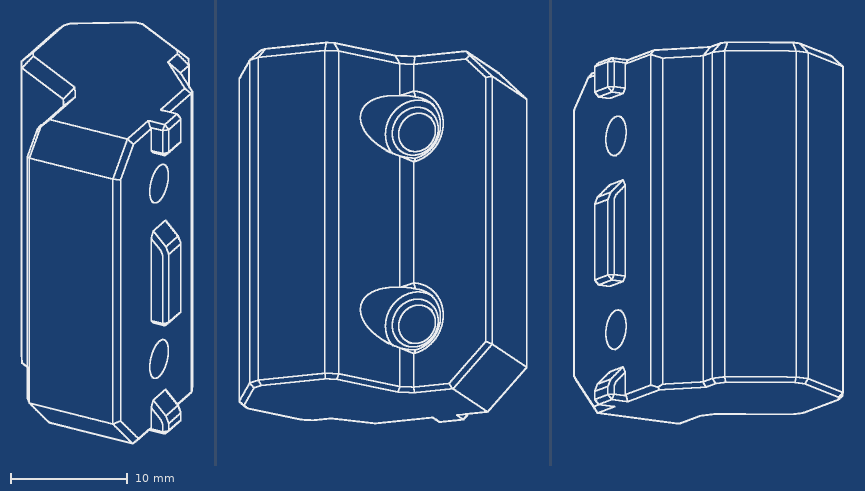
import cadquery as cq
import math

height = 30.0
depth = 22.68
mid_height = height / 2

hex_flats = 13.0
corner_cut = 0.7
hex_radius = hex_flats / math.sqrt(3)
hex_x = hex_flats / 2
hex_y = depth - hex_radius + corner_cut / 2
hex_left_front = (0, hex_y - hex_radius / 2)

stem_left = 7.0
stem_width = 9.0
stem_right = stem_left + stem_width
shoulder_y = 14.0

inner_corner = (stem_left, hex_left_front[1] - stem_left / math.sqrt(3))

top_bevel = 1.0
bottom_bevel = 0.4
left_bevel = 0.42
right_bevel = 0.48
front_top_slope = 2.65
front_bottom_slope = 3.6

tab_reach = 1.5
tab_width = 3.0
tab_y = 7.55
tab_bevel = 0.4
tab_root = 1.5

hole_radius = 3.4 / 2
counterbore_radius = 5.5 / 2
hole_spacing = 17.0
hole_y = 7.5
counterbore_floor = 8.5
hole_bevel = 0.42
rim_bevel = 0.42

tabs = [(27.0, height, False), (10.5, 19.4, True), (0.0, 3.0, True)]

margin = 6.0


def cut_corner(before, corner, after, size):
    """Return the two points that replace a corner cut back along both of its sides."""
    points = []
    for end in (before, after):
        length = math.dist(corner, end)
        points.append(tuple(c + (e - c) * size / length for c, e in zip(corner, end)))
    return points


def plan_outline():
    """Outline of head and stem, overrunning the front and right sides."""
    front = -margin
    far_right = stem_right + margin
    side_back_y = hex_y + hex_radius / 2
    shoulder_back = (hex_flats, shoulder_y + stem_right - hex_flats)
    corners = [
        (stem_left, front),
        inner_corner,
        hex_left_front,
        (0, side_back_y),
        (hex_x, hex_y + hex_radius),
        (hex_flats, side_back_y),
        shoulder_back,
    ]
    points = [corners[0]]
    for before, corner, after in zip(corners, corners[1:], corners[2:]):
        points += cut_corner(before, corner, after, corner_cut)
    overrun = [(far_right, shoulder_y + stem_right - far_right), (far_right, front)]
    return points + [shoulder_back] + overrun


def bevelled_plan():
    """The plan outline at full height, bevelled along its top and bottom."""
    plan = cq.Workplane("XY").polyline(plan_outline()).close().extrude(height)
    return plan.faces(">Z").chamfer(top_bevel).faces("<Z").chamfer(bottom_bevel)


def stem_block():
    """Block with the sloped front of the stem and its bevelled left and right sides."""
    profile = [
        (0, front_bottom_slope),
        (front_bottom_slope, 0),
        (depth, 0),
        (depth, height),
        (front_top_slope, height),
        (0, height - front_top_slope),
    ]
    block = cq.Workplane("YZ").workplane(offset=stem_left).polyline(profile).close()
    block = block.extrude(stem_width)
    front_edges = cq.selectors.BoxSelector(
        (stem_left - 0.3, -0.3, 0.3), (stem_left + 0.3, front_bottom_slope, height - 0.3))
    block = block.edges(front_edges).chamfer(left_bevel)
    return block.faces(">X").edges("not >Y").chamfer(right_bevel)


def body():
    """Head and stem with all their bevels, before tabs and holes are added."""
    head_space = cq.Workplane("XY").box(stem_left, depth, height, centered=False)
    solid = bevelled_plan().intersect(stem_block().union(head_space))
    shoulder_edge = cq.selectors.NearestToPointSelector((stem_right, shoulder_y, mid_height))
    return solid.edges(shoulder_edge).chamfer(corner_cut)


def tab(bottom, top, sloped):
    """Tab on the right side; a sloped one has a 45 degree top falling outward."""
    outer_x = stem_right + tab_reach
    outer_top = top - tab_reach if sloped else top
    root_top = top + tab_root if sloped else top
    inner_x = stem_right - tab_root
    profile = [(inner_x, bottom), (outer_x, bottom), (outer_x, outer_top), (inner_x, root_top)]
    shape = cq.Workplane("XZ", origin=(0, tab_y + tab_width / 2, 0))
    shape = shape.polyline(profile).close().extrude(tab_width)
    shape = shape.edges("not <X").chamfer(tab_bevel)
    limit = cq.Workplane("XY").box(outer_x, depth, top - bottom, centered=False)
    return shape.intersect(limit.translate((0, 0, bottom)))


def revolved_about_x(profile):
    """Revolve an (x, radius) profile about the X axis."""
    return cq.Workplane("XY").polyline(profile).close().revolve(360, (0, 0, 0), (1, 0, 0))


def screw_hole():
    """Through hole with a bevelled mouth in the floor of a counterbore, along the X axis."""
    profile = [
        (-margin, 0),
        (-margin, counterbore_radius),
        (counterbore_floor, counterbore_radius),
        (counterbore_floor, hole_radius + hole_bevel),
        (counterbore_floor + hole_bevel, hole_radius),
        (stem_right + margin, hole_radius),
        (stem_right + margin, 0),
    ]
    return revolved_about_x(profile)


def tetrahedron(a, b, c, d):
    """Solid with the four given corner points."""
    triangles = [(a, b, c), (a, b, d), (a, c, d), (b, c, d)]
    faces = []
    for triangle in triangles:
        wire = cq.Wire.makePolygon([cq.Vector(*point) for point in triangle], close=True)
        faces.append(cq.Face.makeFromWires(wire))
    return cq.Workplane(cq.Solid.makeSolid(cq.Shell.makeShell(faces)))


def counterbore_rim():
    """Bevel of the counterbore rim on the stem, running out across the inner corner's cut face."""
    stem_point, head_point = cut_corner((stem_left, 0), inner_corner, hex_left_front, corner_cut)
    stem_y = stem_point[1] - hole_y
    head_y = head_point[1] - hole_y
    cone_profile = [
        (stem_left, 0),
        (stem_left, counterbore_radius + rim_bevel),
        (stem_left + rim_bevel, counterbore_radius),
        (stem_left + rim_bevel, 0),
    ]
    in_front = cq.Workplane("XY").box(margin, margin, 2 * margin, centered=(True, False, True))
    in_front = in_front.translate((stem_left, stem_y - margin, 0))
    rim = revolved_about_x(cone_profile).intersect(in_front)

    outer_z = math.sqrt((counterbore_radius + rim_bevel) ** 2 - stem_y ** 2)
    inner_z = math.sqrt(counterbore_radius ** 2 - stem_y ** 2)
    run_out_z = math.sqrt(counterbore_radius ** 2 - head_y ** 2)
    for side in (1, -1):
        rim = rim.union(tetrahedron(
            (head_point[0], head_y, side * run_out_z),
            (stem_left, stem_y, side * hole_radius),
            (stem_left, stem_y, side * outer_z),
            (stem_left + rim_bevel, stem_y, side * inner_z),
        ))
    return rim


result = body()
for tab_bottom, tab_top, has_slope in tabs:
    result = result.union(tab(tab_bottom, tab_top, has_slope))
for hole_z in (mid_height - hole_spacing / 2, mid_height + hole_spacing / 2):
    for cutter in (screw_hole(), counterbore_rim()):
        result = result.cut(cutter.translate((0, hole_y, hole_z)))
result = cq.Workplane(result.solids().val())